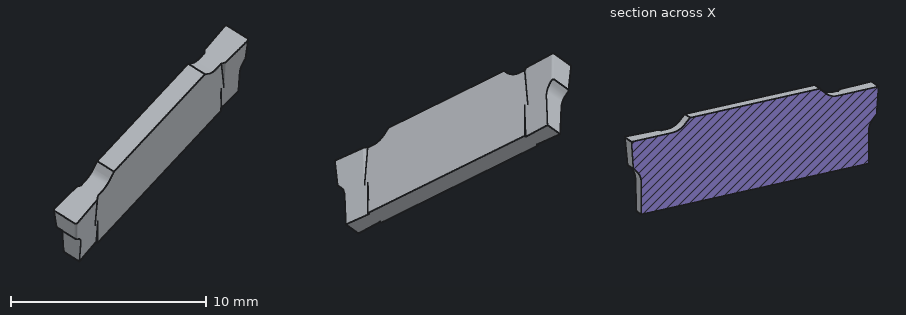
import cadquery as cq
import math

length = 14.6
height = 4.8
body_width = 1.1
head_top = 4.19
head_width = 1.5

cutting_face_bottom = 2.65
cutting_face_angle = 4.0
shank_inset = 0.58
outline_radius = 1.02
ramp_inset = 3.46

back_angle = 2.5
draft_angle = 3.0
neck_angle = 35.0
neck_inset = 1.9
neck_shift = 0.07
neck_core_half = 0.15
body_inset = 2.09
corner_radius = 0.1
tool_margin = 0.73
edge_search = 0.15

half_length = length / 2
diagonal = math.sqrt(0.5)
arc_offset = outline_radius * (1 - diagonal)


def slope(angle):
    return math.tan(math.radians(angle))


def flank_half_width(inset, z):
    """Half width of the drafted head flank at an inset from the end and a height."""
    at_edge = head_width / 2 + corner_radius * slope(back_angle)
    return at_edge - inset * slope(back_angle) - (head_top - z) * slope(draft_angle)


def half_outline(width):
    """The -Y half of the side outline, extruded to the given width."""
    face_inset = (head_top - cutting_face_bottom) * slope(cutting_face_angle)
    under_slope = shank_inset - face_inset - arc_offset
    under_z = cutting_face_bottom - under_slope
    under_end_z = under_z - outline_radius * diagonal
    ramp_run = height - head_top - arc_offset
    arc_end = ramp_inset - ramp_run
    arc_start = arc_end - outline_radius * diagonal
    mid_sin = math.sin(math.pi / 8)
    mid_cos = math.cos(math.pi / 8)
    under_mid = (
        shank_inset - outline_radius * (1 - mid_cos),
        under_end_z + outline_radius * mid_sin,
    )
    top_mid = (arc_start + outline_radius * mid_sin, head_top + outline_radius * (1 - mid_cos))
    return (
        cq.Workplane("YZ", origin=(-width / 2, -half_length, 0))
        .moveTo(half_length, 0)
        .lineTo(shank_inset, 0)
        .lineTo(shank_inset, under_end_z)
        .threePointArc(under_mid, (shank_inset - arc_offset, under_z))
        .lineTo(face_inset, cutting_face_bottom)
        .lineTo(0, head_top)
        .lineTo(arc_start, head_top)
        .threePointArc(top_mid, (arc_end, head_top + arc_offset))
        .lineTo(ramp_inset, height)
        .lineTo(half_length, height)
        .close()
        .extrude(width)
    )


def drafted_plan(section):
    """Loft a symmetric plan from the underside to the head top.

    section(z) returns (inset, half width) corners for one side.
    """
    wires = []
    for z in (0, head_top):
        side = section(z)
        points = [(x, inset - half_length) for inset, x in side]
        points += [(-x, inset - half_length) for inset, x in reversed(side)]
        wires.append(cq.Wire.makePolygon([cq.Vector(x, y, z) for x, y in points], close=True))
    return cq.Workplane(obj=cq.Solid.makeLoft(wires, True))


def head_section(z):
    inset = neck_inset - neck_shift * (head_top - z) / head_top
    half_width = flank_half_width(inset, z)
    neck_end = inset + (half_width - neck_core_half) / slope(neck_angle)
    return [
        (-tool_margin, flank_half_width(-tool_margin, z)),
        (inset, half_width),
        (neck_end, neck_core_half),
    ]


def flank_section(z):
    return [(d, flank_half_width(d, z)) for d in (-tool_margin, body_inset)]


def edges_near(inset, z_low, z_high):
    """Pick edges centred near an inset from the -Y end, between two heights."""
    y = inset - half_length
    return cq.selectors.BoxSelector(
        (-head_width, y - edge_search, z_low),
        (head_width, y + edge_search, z_high),
    )


def make_half():
    plan = drafted_plan(head_section)
    plan = plan.edges("not #Z").edges(edges_near(neck_inset, 0, head_top)).fillet(corner_radius)
    head = half_outline(head_width + tool_margin).intersect(plan)
    cutting_corners = edges_near(0, cutting_face_bottom, head_top - edge_search)
    head = head.edges(cutting_corners).edges("not |X").fillet(corner_radius)

    body = half_outline(body_width)
    body_start = body_inset - half_length
    rear = body.intersect(
        cq.Workplane("XY")
        .box(body_width, -body_start, height, centered=(True, False, False))
        .translate((0, body_start, 0))
    )
    front = body.intersect(drafted_plan(flank_section))
    return rear.union(front).union(head)


half = make_half()
result = half.union(half.mirror("XZ")).clean()